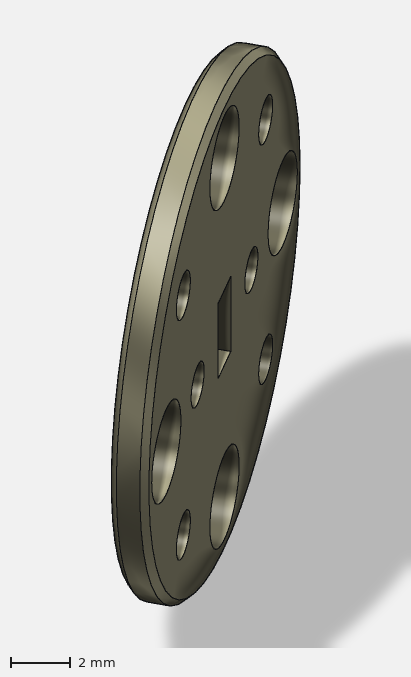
import cadquery as cq

disc_diameter = 19.05
disc_thickness = 1.31
rim_chamfer = 0.25

hole_circle_radius = 7.15
holes_per_size = 4
large_hole_diameter = 3.58
small_hole_diameter = 1.71
small_hole_start_angle = 45.0

inner_hole_diameter = 1.6
inner_hole_spacing = 6.6

slot_width = 1.55
slot_height = 3.16


def disc_blank():
    """Disc with one face on the YZ plane, chamfered on both rims."""
    disc = cq.Workplane("YZ").circle(disc_diameter / 2).extrude(disc_thickness)
    return disc.faces("<X or >X").edges().chamfer(rim_chamfer)


def hole_ring(diameter, start_angle):
    """Cutters evenly spaced on the hole circle."""
    return (
        cq.Workplane("YZ")
        .polarArray(hole_circle_radius, start_angle, 360, holes_per_size)
        .circle(diameter / 2)
        .extrude(disc_thickness)
    )


def inner_holes():
    """Pair of cutters on the Y axis."""
    return (
        cq.Workplane("YZ")
        .rarray(inner_hole_spacing, 0.2, 2, 1)
        .circle(inner_hole_diameter / 2)
        .extrude(disc_thickness)
    )


def centre_slot():
    """Rectangular cutter, long side along Z."""
    return cq.Workplane("YZ").rect(slot_width, slot_height).extrude(disc_thickness)


result = (
    disc_blank()
    .cut(hole_ring(large_hole_diameter, 0))
    .cut(hole_ring(small_hole_diameter, small_hole_start_angle))
    .cut(inner_holes())
    .cut(centre_slot())
)